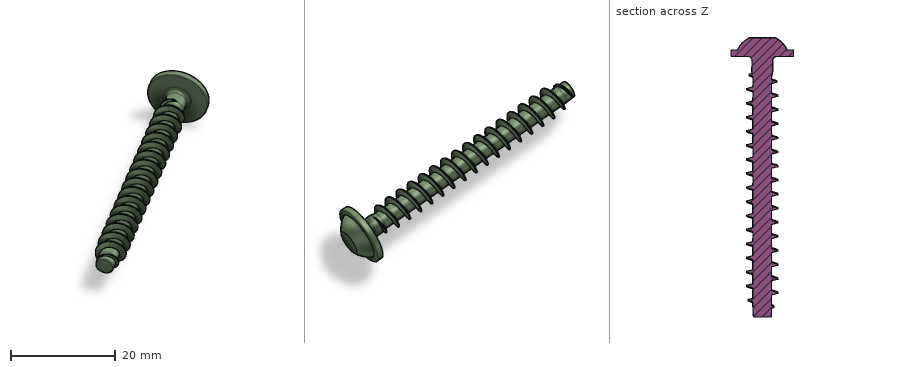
import cadquery as cq
import math

total_length = 53.6

flange_radius = 6.0
flange_thickness = 1.3
flange_edge_round = 0.1
dome_height = 2.35
dome_base_radius = 4.8
dome_top_radius = 2.5
head_height = flange_thickness + dome_height

neck_radius = 2.05
neck_length = 2.9
neck_fillet = 0.75
neck_taper_length = 1.0
core_radius = 1.8
tip_radius = 1.75
tip_taper_length = 2.15
tip_round = 0.15
tip_y = head_height - total_length

crest_radius = 3.0
root_radius = 1.5
crest_half_width = 0.1
root_half_width = 0.55
run_in_radius = 2.2
run_out_radius = 1.75
run_turns = 1.25
full_turns = 15
full_thread_length = 40.45
pitch = full_thread_length / full_turns
full_start_y = -5.5
points_per_turn = 16


def on_sphere(radius):
    """Height above the flange of the spherical dome at a given radius."""
    centre = (dome_top_radius**2 + dome_height**2 - dome_base_radius**2) / (2 * dome_height)
    sphere_radius = math.hypot(dome_base_radius, centre)
    return centre + math.sqrt(sphere_radius**2 - radius**2)


def make_body():
    """Revolve the head, neck and core as one half-outline in the XY plane."""
    dome_middle_radius = (dome_base_radius + dome_top_radius) / 2
    dome_middle = (dome_middle_radius, flange_thickness + on_sphere(dome_middle_radius))
    rounded_rim = flange_radius - flange_edge_round
    fillet_offset = neck_fillet * (1 - math.sqrt(0.5))
    tip_offset = tip_round * (1 - math.sqrt(0.5))
    rim_offset = flange_edge_round * (1 - math.sqrt(0.5))
    outline = (
        cq.Workplane("XY")
        .moveTo(0, head_height)
        .lineTo(dome_top_radius, head_height)
        .threePointArc(dome_middle, (dome_base_radius, flange_thickness))
        .lineTo(rounded_rim, flange_thickness)
        .threePointArc(
            (flange_radius - rim_offset, flange_thickness - rim_offset),
            (flange_radius, flange_thickness - flange_edge_round),
        )
        .lineTo(flange_radius, flange_edge_round)
        .threePointArc((flange_radius - rim_offset, rim_offset), (rounded_rim, 0))
        .lineTo(neck_radius + neck_fillet, 0)
        .threePointArc((neck_radius + fillet_offset, -fillet_offset), (neck_radius, -neck_fillet))
        .lineTo(neck_radius, -neck_length)
        .lineTo(core_radius, -neck_length - neck_taper_length)
        .lineTo(core_radius, tip_y + tip_taper_length)
        .lineTo(tip_radius, tip_y + tip_round)
        .threePointArc((tip_radius - tip_offset, tip_y + tip_offset), (tip_radius - tip_round, tip_y))
        .lineTo(0, tip_y)
        .close()
    )
    return outline.revolve(360, (0, 0, 0), (0, 1, 0))


def thread_edge(first_turn, last_turn, first_radius, last_radius, shift):
    """Spiral edge; turn 0 is the start of the full crest, shift moves it along Y."""
    count = math.ceil((last_turn - first_turn) * points_per_turn)
    points = []
    for i in range(count + 1):
        fraction = i / count
        turn = first_turn + (last_turn - first_turn) * fraction
        radius = first_radius + (last_radius - first_radius) * fraction
        angle = 2 * math.pi * turn
        x = -radius * math.sin(angle)
        y = full_start_y - pitch * turn + shift
        z = radius * math.cos(angle)
        points.append(cq.Vector(x, y, z))
    return cq.Edge.makeSpline(points)


def make_thread():
    """Join the run-in, the full thread and the run-out into one trapezoidal ridge."""
    stretches = [
        (-run_turns, 0, run_in_radius, crest_radius),
        (0, full_turns, crest_radius, crest_radius),
        (full_turns, full_turns + run_turns, crest_radius, run_out_radius),
    ]
    faces = []
    end_corners = []
    for first_turn, last_turn, first_radius, last_radius in stretches:
        edges = [
            thread_edge(first_turn, last_turn, root_radius, root_radius, root_half_width),
            thread_edge(first_turn, last_turn, first_radius, last_radius, crest_half_width),
            thread_edge(first_turn, last_turn, first_radius, last_radius, -crest_half_width),
            thread_edge(first_turn, last_turn, root_radius, root_radius, -root_half_width),
        ]
        for i in range(len(edges)):
            faces.append(cq.Face.makeRuledSurface(edges[i - 1], edges[i]))
        end_corners.append([edge.startPoint() for edge in edges])
        end_corners.append([edge.endPoint() for edge in edges])
    for corners in (end_corners[0], end_corners[-1]):
        faces.append(cq.Face.makeFromWires(cq.Wire.makePolygon(corners, close=True)))
    ridge = cq.Solid.makeSolid(cq.Shell.makeShell(faces))
    return cq.Workplane(ridge.fix())


def trim_block():
    """Block between the neck end and the tip that limits the thread."""
    width = 2 * flange_radius
    length = -neck_length - tip_y
    return cq.Workplane("XY").box(width, length, width).translate((0, tip_y + length / 2, 0))


result = make_body().union(make_thread().intersect(trim_block()))